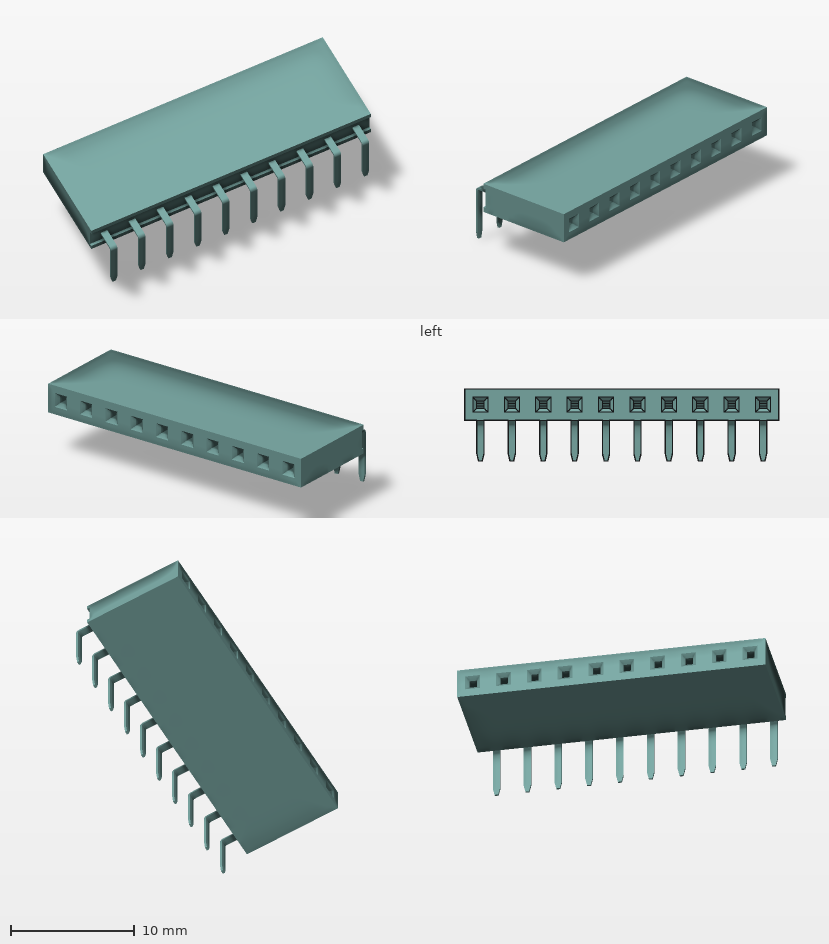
import cadquery as cq

pin_count = 10
housing_length = 25.4
housing_depth = 8.53
pitch = housing_length / pin_count
housing_height = pitch
mid_height = housing_height / 2

groove_depth = 0.23
lip_thickness = 0.43

socket_mouth = 1.22
socket_hole = 0.6
funnel_depth = 0.3
socket_depth = 3.05

overall_depth = 10.13
overall_height = 5.85
pin_side_gap = 0.005
pin_width = socket_hole - 2 * pin_side_gap
pin_thickness = 0.18
bend_outer_radius = 0.28
bend_inner_radius = bend_outer_radius - pin_thickness
tip_width = 0.3
tip_length = 0.6
contact_length = 1.52

pin_bottom = housing_height - overall_height
pin_positions = [(i - (pin_count - 1) / 2) * pitch for i in range(pin_count)]


def make_housing():
    """Plain bar with a groove along the whole rear face."""
    bar = cq.Workplane("XY").box(
        housing_depth, housing_length, housing_height, centered=(False, True, False)
    )
    groove = (
        cq.Workplane("XY")
        .box(groove_depth, housing_length, housing_height - 2 * lip_thickness, centered=(False, True, True))
        .translate((housing_depth - groove_depth, 0, mid_height))
    )
    return bar.cut(groove)


def make_socket(y):
    """Solid to remove for one socket."""
    mouth = cq.Workplane("YZ").center(y, mid_height).rect(socket_mouth, socket_mouth)
    funnel = mouth.workplane(offset=funnel_depth).rect(socket_hole, socket_hole).loft(ruled=True)
    hole = cq.Workplane("YZ").center(y, mid_height).rect(socket_hole, socket_hole).extrude(socket_depth)
    return funnel.union(hole)


def make_pin(y):
    """Flat strip running back from the socket, bent down and tapered at its tip."""
    start = socket_depth - contact_length
    top = mid_height + pin_thickness / 2
    underside = top - pin_thickness
    outer = overall_depth
    inner = outer - pin_thickness
    bend_x = outer - bend_outer_radius
    bend_z = top - bend_outer_radius
    strip = (
        cq.Workplane("XZ")
        .moveTo(start, top)
        .lineTo(bend_x, top)
        .radiusArc((outer, bend_z), bend_outer_radius)
        .lineTo(outer, pin_bottom)
        .lineTo(inner, pin_bottom)
        .lineTo(inner, bend_z)
        .radiusArc((bend_x, underside), -bend_inner_radius)
        .lineTo(start, underside)
        .close()
        .extrude(pin_width / 2, both=True)
    )
    width_outline = (
        cq.Workplane("YZ")
        .moveTo(-pin_width / 2, top)
        .lineTo(-pin_width / 2, pin_bottom + tip_length)
        .lineTo(-tip_width / 2, pin_bottom)
        .lineTo(tip_width / 2, pin_bottom)
        .lineTo(pin_width / 2, pin_bottom + tip_length)
        .lineTo(pin_width / 2, top)
        .close()
        .extrude(overall_depth)
    )
    return strip.intersect(width_outline).translate((0, y, 0))


result = make_housing()
for pin_y in pin_positions:
    result = result.cut(make_socket(pin_y)).union(make_pin(pin_y))